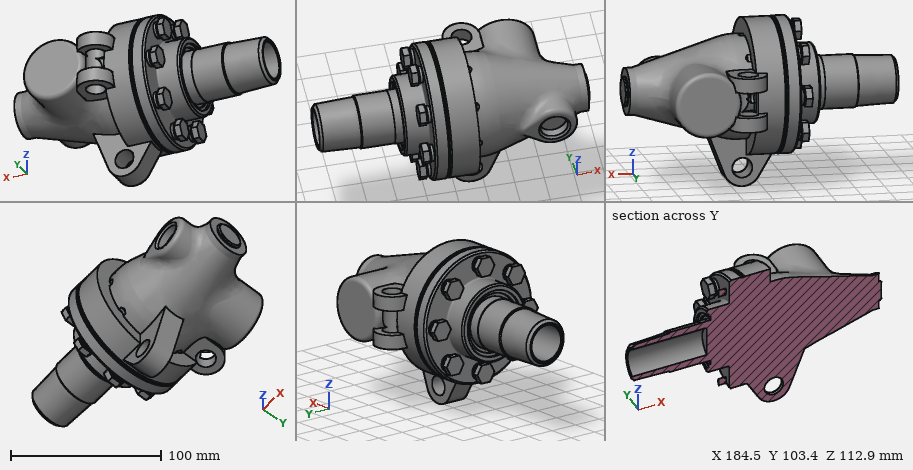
import cadquery as cq
import math


tube_tip_chamfer = 2.0
tube_tip_diameter = 32.3
taper_end_x = 25.1
taper_end_diameter = 34.03
tube_step_x = 28.3
tube_step_chamfer = 0.7
tube_diameter = 35.8
shoulder_x = 50.6
shoulder_diameter = 36.35
bore_diameter = 25.0
bore_chamfer = 0.6
bore_depth = 55.5

collar_x = 55.5
collar_diameter = 54.23
collar_chamfer = 1.2
collar_base_fillet = 1.15
seal_recess_diameter = 46.02
seal_recess_depth = 1.5
seal_bore_diameter = 41.27
seal_bore_depth = 3.0

flange_x = 72.1
flange_diameter = 92.2
flange_chamfer = 1.3
groove_x = 81.2
groove_width = 2.2
gasket_diameter = 91.0
gasket_lip_diameter = 91.4
body_diameter = 91.95
body_end_x = 102.4

cone_half_angle = 16.83
housing_bend_x = 108.3
cone_start_x = 118.9
cone_end_x = 177.7
nose_diameter = 31.75
nose_end_x = 182.7
plug_diameter = 20.0
plug_end_x = 184.52
plug_chamfer = 1.0

bolt_count = 8
bolt_circle_radius = 37.25
bolt_head_x = 64.4
bolt_head_height = 4.65
bolt_head_across_flats = 12.7
bolt_face_diameter = 12.0
bolt_face_height = 0.95
washer_diameter = 11.2
scallop_diameter = 6.9
scallop_end_x = 104.6

port_x = 136.8
port_diameter = 44.45
port_face_y = 52.55
port_edge_fillet = 3.175
port_blend_radius = 17.0

side_port_x = 155.95
side_port_diameter = 31.75
side_port_face_y = -31.9
side_port_tip_offset = 18.2
side_port_tip_radius = 5.3
side_port_edge_fillet = 3.175
side_port_blend_radius = 7.2
side_hole_diameter = 18.6
side_hole_chamfer = 1.45
side_hole_depth = 7.1

lug_radius = 12.7
lug_hole_diameter = 13.49
clevis_x = 108.4
clevis_y = 44.58
clevis_inner_z = 8.5
clevis_thickness = 9.9
clevis_root_y = 26.0
foot_x = 105.0
foot_z = -54.1
foot_thickness = 15.88
foot_root_z = -27.0
foot_front_lean = 30.5
foot_rear_lean = 21.3


def revolve_about_axis(profile):
    return profile.close().revolve(360, (0, 0, 0), (1, 0, 0))


def cylinder_x(start_x, end_x, diameter, y=0, z=0):
    length = end_x - start_x
    return cq.Workplane("YZ", origin=(start_x, y, z)).circle(diameter / 2).extrude(length)


def make_housing():
    """Cylinder, tangent bend, cone and nose; starts inside the flange body."""
    nose_radius = nose_diameter / 2
    bend_length = cone_start_x - housing_bend_x
    cone_length = cone_end_x - cone_start_x
    cone_angle = math.radians(cone_half_angle)
    cone_start_radius = nose_radius + cone_length * math.tan(cone_angle)
    start_radius = cone_start_radius + bend_length * math.tan(cone_angle / 2)
    bend_radius = bend_length / math.sin(cone_angle)
    bend_middle = (
        housing_bend_x + bend_radius * math.sin(cone_angle / 2),
        start_radius - bend_radius * (1 - math.cos(cone_angle / 2)),
    )
    profile = (
        cq.Workplane("XY")
        .moveTo(groove_x, 0)
        .lineTo(groove_x, start_radius)
        .lineTo(housing_bend_x, start_radius)
        .threePointArc(bend_middle, (cone_start_x, cone_start_radius))
        .lineTo(cone_end_x, nose_radius)
        .lineTo(nose_end_x, nose_radius)
        .lineTo(nose_end_x, 0)
    )
    return revolve_about_axis(profile)


def make_large_port():
    return (
        cq.Workplane("XZ", origin=(port_x, port_face_y, 0))
        .circle(port_diameter / 2)
        .extrude(port_face_y)
    )


def make_side_port():
    big_radius = side_port_diameter / 2
    lean = math.acos((big_radius - side_port_tip_radius) / side_port_tip_offset)
    tip_x = side_port_x - side_port_tip_offset

    def rim(centre_x, radius, side):
        return (centre_x - radius * math.cos(lean), side * radius * math.sin(lean))

    return (
        cq.Workplane("XZ")
        .moveTo(*rim(side_port_x, big_radius, 1))
        .threePointArc((side_port_x + big_radius, 0), rim(side_port_x, big_radius, -1))
        .lineTo(*rim(tip_x, side_port_tip_radius, -1))
        .threePointArc((tip_x - side_port_tip_radius, 0), rim(tip_x, side_port_tip_radius, 1))
        .close()
        .extrude(-side_port_face_y)
        .faces("<Y")
        .edges()
        .fillet(side_port_edge_fillet)
    )


def joint_edges(solid, side):
    """Curved seams where a port meets the housing, on the +Y (1) or -Y (-1) side."""
    seam_types = ("BSPLINE", "ELLIPSE")
    edges = solid.edges().vals()
    return [e for e in edges if e.geomType() in seam_types and side * e.Center().y > 0]


def make_ported_housing():
    housing = make_housing().union(make_large_port())
    housing = housing.newObject(joint_edges(housing, 1)).fillet(port_blend_radius)
    housing = housing.faces(">Y").edges().fillet(port_edge_fillet)
    housing = housing.union(make_side_port())
    return housing.newObject(joint_edges(housing, -1)).fillet(side_port_blend_radius)


def make_side_hole():
    hole_radius = side_hole_diameter / 2
    face = cq.Workplane("XZ", origin=(side_port_x, side_port_face_y, 0))
    drill = face.circle(hole_radius).extrude(-side_hole_depth)
    countersink = face.circle(hole_radius + side_hole_chamfer).workplane(
        offset=-side_hole_chamfer
    ).circle(hole_radius).loft()
    return drill.union(countersink)


def make_nose_plug():
    return cylinder_x(nose_end_x, plug_end_x, plug_diameter).faces(">X").chamfer(plug_chamfer)


def make_flange():
    """Clamped flange, gasket groove and housing body rim."""
    groove_middle = groove_x + groove_width / 2
    groove_end = groove_x + groove_width
    flange = cylinder_x(flange_x, groove_x, flange_diameter).faces("<X").chamfer(flange_chamfer)
    gasket = cylinder_x(groove_x, groove_middle, gasket_diameter)
    gasket_lip = cylinder_x(groove_middle, groove_end, gasket_lip_diameter)
    body = cylinder_x(groove_end, body_end_x, body_diameter)
    return flange.union(gasket).union(gasket_lip).union(body)


def make_collar():
    """Hollow collar with a stepped seal recess and a rounded foot on the flange."""
    radius = collar_diameter / 2
    foot_radius = radius + collar_base_fillet
    foot_x = flange_x - collar_base_fillet
    arc_shift = collar_base_fillet * (1 - math.sqrt(0.5))
    profile = (
        cq.Workplane("XY")
        .moveTo(collar_x, 0)
        .lineTo(collar_x, radius - collar_chamfer)
        .lineTo(collar_x + collar_chamfer, radius)
        .lineTo(foot_x, radius)
        .threePointArc((flange_x - arc_shift, radius + arc_shift), (flange_x, foot_radius))
        .lineTo(groove_x, foot_radius)
        .lineTo(groove_x, 0)
    )
    recess = cylinder_x(collar_x, collar_x + seal_recess_depth, seal_recess_diameter)
    seal_bore = cylinder_x(collar_x, collar_x + seal_bore_depth, seal_bore_diameter)
    return revolve_about_axis(profile).cut(recess).cut(seal_bore)


def make_tube():
    tip_radius = tube_tip_diameter / 2
    taper_radius = taper_end_diameter / 2
    tube_radius = tube_diameter / 2
    shoulder_radius = shoulder_diameter / 2
    profile = (
        cq.Workplane("XY")
        .moveTo(0, 0)
        .lineTo(0, tip_radius - tube_tip_chamfer)
        .lineTo(tube_tip_chamfer, tip_radius)
        .lineTo(taper_end_x, taper_radius)
        .lineTo(tube_step_x - tube_step_chamfer, taper_radius)
        .lineTo(tube_step_x, tube_radius)
        .lineTo(shoulder_x, tube_radius)
        .lineTo(shoulder_x, shoulder_radius)
        .lineTo(flange_x, shoulder_radius)
        .lineTo(flange_x, 0)
    )
    return revolve_about_axis(profile)


def make_bore():
    bore_radius = bore_diameter / 2
    profile = (
        cq.Workplane("XY")
        .moveTo(0, 0)
        .lineTo(0, bore_radius + bore_chamfer)
        .lineTo(bore_chamfer, bore_radius)
        .lineTo(bore_depth, bore_radius)
        .lineTo(bore_depth, 0)
    )
    return revolve_about_axis(profile)


def make_bolt(y, z):
    head_end_x = bolt_head_x + bolt_head_height
    washer_x = head_end_x + bolt_face_height
    head = (
        cq.Workplane("YZ", origin=(bolt_head_x, y, z))
        .polygon(6, bolt_head_across_flats, circumscribed=True)
        .extrude(bolt_head_height)
        .rotate((0, y, z), (1, y, z), 30)
    )
    head_face = cylinder_x(head_end_x, washer_x, bolt_face_diameter, y, z)
    washer = cylinder_x(washer_x, flange_x, washer_diameter, y, z)
    return head.union(head_face).union(washer)


def make_scallop(y, z):
    """Drill end that runs out past the body rim and nicks the housing wall."""
    radius = scallop_diameter / 2
    return (
        cq.Workplane("XY", origin=(0, y, z))
        .moveTo(body_end_x, 0)
        .lineTo(body_end_x, radius)
        .lineTo(scallop_end_x, radius)
        .lineTo(scallop_end_x + radius, 0)
        .close()
        .revolve(360, (0, 0, 0), (1, 0, 0))
    )


def around_bolt_circle(make_item):
    items = cq.Workplane("XY")
    for index in range(bolt_count):
        angle = 2 * math.pi * index / bolt_count
        y = bolt_circle_radius * math.cos(angle)
        z = bolt_circle_radius * math.sin(angle)
        items = items.union(make_item(y, z))
    return items


def make_clevis():
    """Pair of straight-sided lugs on +Y."""
    profile = (
        cq.Workplane("XY", origin=(0, 0, clevis_inner_z))
        .moveTo(clevis_x - lug_radius, clevis_root_y)
        .lineTo(clevis_x - lug_radius, clevis_y)
        .threePointArc((clevis_x, clevis_y + lug_radius), (clevis_x + lug_radius, clevis_y))
        .lineTo(clevis_x + lug_radius, clevis_root_y)
        .close()
    )
    upper = profile.extrude(clevis_thickness)
    return upper.union(upper.mirror("XY"))


def make_clevis_hole():
    """One straight hole through both lugs and the blend between them."""
    outer_z = clevis_inner_z + clevis_thickness
    hole = cq.Workplane("XY", origin=(clevis_x, clevis_y, -outer_z))
    return hole.circle(lug_hole_diameter / 2).extrude(2 * outer_z)


def make_foot():
    """Tapering lug below the body; its sides are tangent to the rounded end."""
    front = math.radians(foot_front_lean)
    rear = math.radians(foot_rear_lean)
    front_tangent = (foot_x - lug_radius * math.cos(front), foot_z - lug_radius * math.sin(front))
    rear_tangent = (foot_x + lug_radius * math.cos(rear), foot_z - lug_radius * math.sin(rear))
    front_root_x = front_tangent[0] - (foot_root_z - front_tangent[1]) * math.tan(front)
    rear_root_x = rear_tangent[0] + (foot_root_z - rear_tangent[1]) * math.tan(rear)
    plate = (
        cq.Workplane("XZ", origin=(0, foot_thickness / 2, 0))
        .moveTo(front_root_x, foot_root_z)
        .lineTo(*front_tangent)
        .threePointArc((foot_x, foot_z - lug_radius), rear_tangent)
        .lineTo(rear_root_x, foot_root_z)
        .close()
        .extrude(foot_thickness)
    )
    pin_hole = (
        cq.Workplane("XZ", origin=(foot_x, foot_thickness / 2, foot_z))
        .circle(lug_hole_diameter / 2)
        .extrude(foot_thickness)
    )
    return plate.cut(pin_hole)


result = (
    make_ported_housing()
    .cut(around_bolt_circle(make_scallop))
    .cut(make_side_hole())
    .union(make_nose_plug())
    .union(make_flange())
    .union(make_collar())
    .union(make_tube())
    .union(make_clevis())
    .cut(make_clevis_hole())
    .union(make_foot())
    .union(around_bolt_circle(make_bolt))
    .cut(make_bore())
)